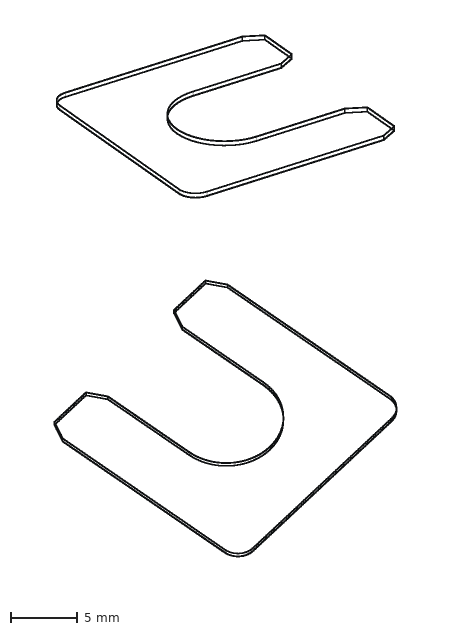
import cadquery as cq

side = 19.05
thickness = 0.38
corner_radius = 1.5

slot_width = 8.61
slot_radius = slot_width / 2
leg_width = (side - slot_width) / 2
slot_end_y = -side / 2 + leg_width
slot_center_y = slot_end_y + slot_radius

tip_inset = 0.78
tip_length = 1.5

half = side / 2
shoulder_y = half - tip_length

plate = (
    cq.Workplane("XY")
    .moveTo(-half, -half)
    .lineTo(half, -half)
    .lineTo(half, shoulder_y)
    .lineTo(half - tip_inset, half)
    .lineTo(slot_radius + tip_inset, half)
    .lineTo(slot_radius, shoulder_y)
    .lineTo(slot_radius, slot_center_y)
    .threePointArc((0, slot_end_y), (-slot_radius, slot_center_y))
    .lineTo(-slot_radius, shoulder_y)
    .lineTo(-slot_radius - tip_inset, half)
    .lineTo(-half + tip_inset, half)
    .lineTo(-half, shoulder_y)
    .close()
    .extrude(thickness)
)

result = plate.edges("|Z and <Y").fillet(corner_radius)